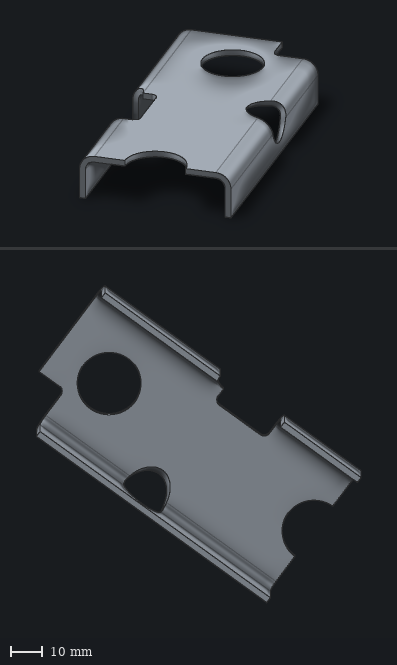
import cadquery as cq
import math

length = 100
width = 50
height = 15
thickness = 2
bend_radius = 5

round_cut_diameter = 20
round_hole_y = 30

side_notch_depth = 10
side_notch_length = 20
relief_radius = bend_radius
corner_notch_width = 15
corner_notch_length = 10
notch_fillet = 2

bend_hole_diameter = 15
bend_hole_reach = 20

half_width = width / 2
half_length = length / 2


def make_channel():
    inner_radius = bend_radius - thickness
    outside = (
        cq.Workplane("XY")
        .box(width, length, height, centered=(True, True, False))
        .edges("|Y and >Z")
        .fillet(bend_radius)
    )
    inside = (
        cq.Workplane("XY")
        .box(width - 2 * thickness, length, height - thickness, centered=(True, True, False))
        .edges("|Y and >Z")
        .fillet(inner_radius)
    )
    return outside.cut(inside)


def vertical_cylinder(x, y, diameter):
    return cq.Workplane("XY").center(x, y).circle(diameter / 2).extrude(height)


def notch(x_min, x_max, y_min, y_max, rounded_edges):
    """Full-height rectangular cut with its inner corners rounded."""
    return (
        cq.Workplane("XY")
        .center((x_min + x_max) / 2, (y_min + y_max) / 2)
        .rect(x_max - x_min, y_max - y_min)
        .extrude(height)
        .edges(rounded_edges)
        .fillet(notch_fillet)
    )


def bend_hole():
    """Cylinder at 45 degrees through the axis of the +X bend."""
    bend_axis = cq.Vector(half_width - bend_radius, 0, height - bend_radius)
    direction = cq.Vector(math.sqrt(0.5), 0, math.sqrt(0.5))
    plane = cq.Plane(origin=bend_axis, xDir=(0, 1, 0), normal=direction)
    return cq.Workplane(plane).circle(bend_hole_diameter / 2).extrude(bend_hole_reach, both=True)


result = make_channel()

for cut_y in (round_hole_y, -half_length):
    result = result.cut(vertical_cylinder(0, cut_y, round_cut_diameter))

side_notch = notch(-half_width, -half_width + side_notch_depth, -side_notch_length, 0, "|Z and >X")
result = result.cut(side_notch)
result = result.cut(vertical_cylinder(-half_width, 0, 2 * relief_radius))

corner_notch = notch(
    half_width - corner_notch_width,
    half_width,
    half_length - corner_notch_length,
    half_length,
    "|Z and <X and <Y",
)
result = result.cut(corner_notch)

result = result.cut(bend_hole())